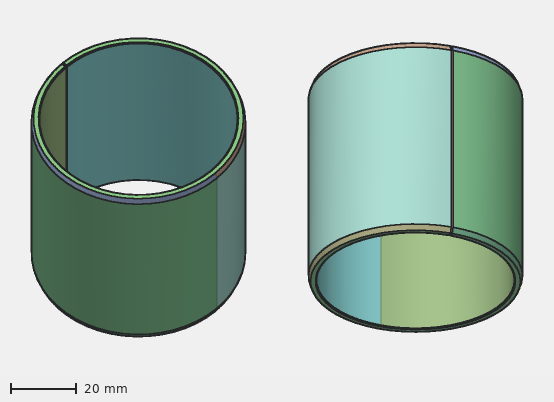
import cadquery as cq

outer_diameter = 65.0
length = 65.0
wall = 2.5
outer_chamfer_height = 1.8
outer_chamfer_depth = 0.65
inner_chamfer = 0.3
slit_width = 0.6

outer_radius = outer_diameter / 2
inner_radius = outer_radius - wall
half_length = length / 2


def sleeve():
    """Revolve the wall section, with both ends chamfered inside and outside."""
    tip_radius = outer_radius - outer_chamfer_depth
    mouth_radius = inner_radius + inner_chamfer
    outer_edge = half_length - outer_chamfer_height
    inner_edge = half_length - inner_chamfer
    section = [
        (inner_radius, -inner_edge),
        (mouth_radius, -half_length),
        (tip_radius, -half_length),
        (outer_radius, -outer_edge),
        (outer_radius, outer_edge),
        (tip_radius, half_length),
        (mouth_radius, half_length),
        (inner_radius, inner_edge),
    ]
    return cq.Workplane("XZ").polyline(section).close().revolve(360, (0, 0), (0, 1))


def slit():
    """Full-length cutter through the wall on the -X side, with one face on the XZ plane."""
    return cq.Workplane("XY").box(
        outer_diameter, slit_width, length, centered=(False, False, True)
    ).translate((-outer_diameter, 0, 0))


result = sleeve().cut(slit())